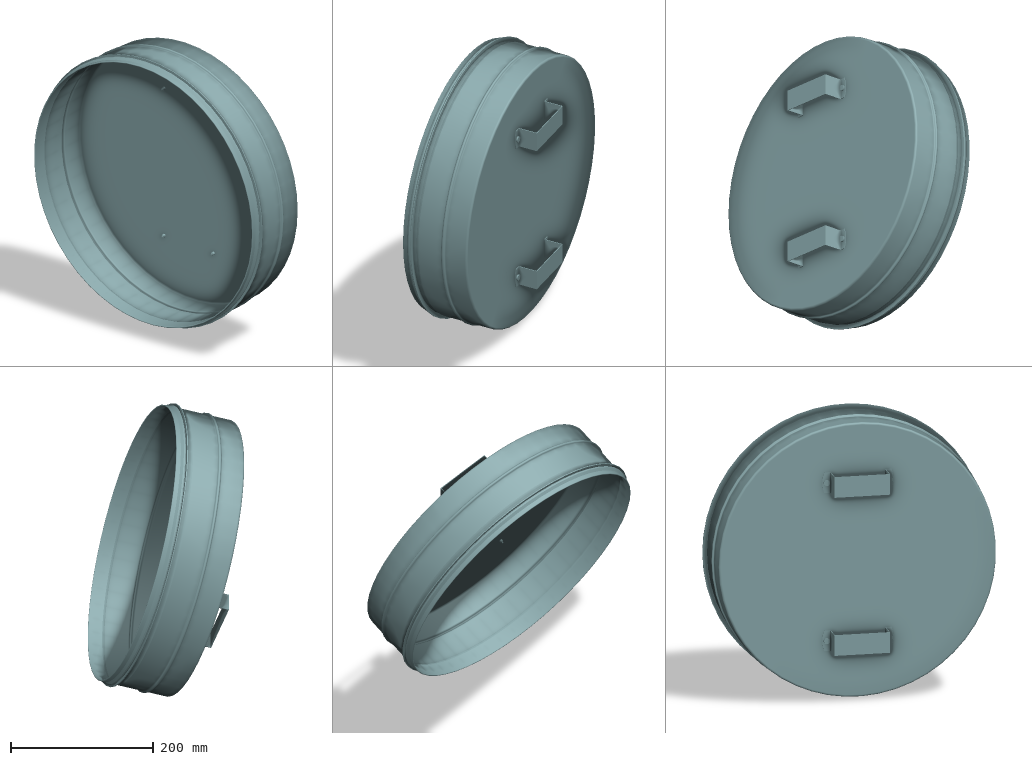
import cadquery as cq
import math

sheet = 0.5
pan_depth = 101.0
pan_outer_r = 399.0 / 2
corner_r = 3.05

bead_outer_r = 404.3 / 2
bead_y = 64.0
bead_half_width = 4.0

neck_outer_r = 396.0 / 2
neck_inner_r = neck_outer_r - sheet
hem_bend_r = (pan_outer_r - neck_inner_r) / 2
hem_end_y = 10.2
shoulder_y = 24.5
shoulder_length = 3.5

seal_outer_r = 409 / 2
seal_lip_r = 404.3 / 2
seal_back_y = 15.5
seal_flange_thickness = 1.2
seal_gap = 2.0
seal_lip_edge = 2.0
seal_lip_front_y = 6.5

handle_z = 115.0
handle_width = 30.0
handle_span = 80.0
handle_height = 29.0
handle_sheet = 1.0
bend_inner_r = 0.6
bend_outer_r = bend_inner_r + handle_sheet
foot_tip_x = 51.0
foot_corner_x = 48.3

rivet_x = 45.0
rivet_head_d = 8.5
rivet_head_height = 2.5
rivet_shank_d = 4.0
rivet_bulge_d = 5.0
rivet_bulge_length = 2.5
rivet_tail_length = 1.2
mandrel_d = 2.0
mandrel_length = 2.0

rivet_places = [(x, z) for x in (-rivet_x, rivet_x) for z in (-handle_z, handle_z)]


def revolve_about_y(profile):
    """Turn a closed XY profile (X = radius) a full circle about the Y axis."""
    return profile.revolve(360, (0, 0, 0), (0, 1, 0))


def cylinder_along_y(diameter, y_start, y_end, x, z):
    start = cq.Vector(x, y_start, z)
    return cq.Workplane(cq.Solid.makeCylinder(diameter / 2, y_end - y_start, start, cq.Vector(0, 1, 0)))


def pan_section(inset):
    """Closed section of a solid pan whose skin lies the inset distance inside the outer skin."""
    wall_r = pan_outer_r - inset
    neck_r = neck_outer_r - inset
    end_y = pan_depth - inset
    arc_r = corner_r - inset
    flat_r = pan_outer_r - corner_r
    corner_y = pan_depth - corner_r

    bead_height = bead_outer_r - pan_outer_r
    bead_angle = 2 * math.atan(bead_height / bead_half_width)
    bead_arc_r = bead_half_width / (2 * math.sin(bead_angle))
    foot_r = bead_arc_r + inset
    crest_r = bead_arc_r - inset
    foot_center_r = pan_outer_r + bead_arc_r
    crest_center_r = bead_outer_r - bead_arc_r

    def foot_point(side, angle):
        return (
            foot_center_r - foot_r * math.cos(angle),
            bead_y + side * (bead_half_width - foot_r * math.sin(angle)),
        )

    def crest_point(side):
        return (
            crest_center_r + crest_r * math.cos(bead_angle),
            bead_y + side * crest_r * math.sin(bead_angle),
        )

    return (
        cq.Workplane("XY")
        .polyline([
            (0, hem_bend_r),
            (neck_r, hem_bend_r),
            (neck_r, shoulder_y - shoulder_length),
            (wall_r, shoulder_y),
            foot_point(-1, 0),
        ])
        .threePointArc(foot_point(-1, bead_angle / 2), crest_point(-1))
        .threePointArc((crest_center_r + crest_r, bead_y), crest_point(1))
        .threePointArc(foot_point(1, bead_angle / 2), foot_point(1, 0))
        .lineTo(wall_r, corner_y)
        .radiusArc((flat_r, end_y), -arc_r)
        .lineTo(0, end_y)
        .close()
    )


def make_hem():
    layer_inner_r = pan_outer_r - sheet
    profile = (
        cq.Workplane("XY")
        .moveTo(pan_outer_r, hem_bend_r)
        .lineTo(pan_outer_r, hem_end_y)
        .lineTo(layer_inner_r, hem_end_y)
        .lineTo(layer_inner_r, hem_bend_r)
        .threePointArc(((layer_inner_r + neck_outer_r) / 2, sheet), (neck_outer_r, hem_bend_r))
        .lineTo(neck_inner_r, hem_bend_r)
        .threePointArc(((pan_outer_r + neck_inner_r) / 2, 0), (pan_outer_r, hem_bend_r))
        .close()
    )
    return revolve_about_y(profile)


def make_pan():
    pan = revolve_about_y(pan_section(0)).cut(revolve_about_y(pan_section(sheet))).union(make_hem())
    for x, z in rivet_places:
        pan = pan.cut(cylinder_along_y(rivet_shank_d, pan_depth - 2 * sheet, pan_depth, x, z))
    return pan


def make_seal():
    flange_front_y = seal_back_y - seal_flange_thickness
    lip_back_y = flange_front_y - seal_gap
    profile = (
        cq.Workplane("XY")
        .moveTo(neck_outer_r, seal_back_y)
        .lineTo(neck_outer_r, hem_end_y)
        .lineTo(pan_outer_r, hem_end_y)
        .lineTo(pan_outer_r, seal_lip_front_y)
        .lineTo(seal_lip_r, lip_back_y - seal_lip_edge)
        .lineTo(seal_lip_r, lip_back_y)
        .lineTo(pan_outer_r, lip_back_y)
        .lineTo(pan_outer_r, flange_front_y)
        .lineTo(seal_outer_r, flange_front_y)
        .lineTo(seal_outer_r, seal_back_y)
        .close()
    )
    return revolve_about_y(profile)


def foot_outline():
    """Block that trims the strap to its width and rounds the outer ends of the feet."""
    half_width = handle_width / 2
    return (
        cq.Workplane("XZ", origin=(0, pan_depth, 0))
        .moveTo(-foot_corner_x, -half_width)
        .lineTo(foot_corner_x, -half_width)
        .threePointArc((foot_tip_x, 0), (foot_corner_x, half_width))
        .lineTo(-foot_corner_x, half_width)
        .threePointArc((-foot_tip_x, 0), (-foot_corner_x, -half_width))
        .close()
        .extrude(-handle_height)
    )


def make_handle(z):
    leg_outer_x = handle_span / 2
    leg_inner_x = leg_outer_x - handle_sheet
    foot_top_y = pan_depth + handle_sheet
    grip_outer_y = pan_depth + handle_height
    grip_inner_y = grip_outer_y - handle_sheet
    half_strap = (
        cq.Workplane("XY", origin=(0, 0, -handle_width / 2))
        .moveTo(0, grip_inner_y)
        .lineTo(leg_inner_x, grip_inner_y)
        .lineTo(leg_inner_x, pan_depth + bend_outer_r)
        .radiusArc((leg_inner_x + bend_outer_r, pan_depth), -bend_outer_r)
        .lineTo(foot_tip_x, pan_depth)
        .lineTo(foot_tip_x, foot_top_y)
        .lineTo(leg_outer_x + bend_inner_r, foot_top_y)
        .radiusArc((leg_outer_x, foot_top_y + bend_inner_r), bend_inner_r)
        .lineTo(leg_outer_x, grip_outer_y)
        .lineTo(0, grip_outer_y)
        .close()
        .extrude(handle_width)
    )
    strap = half_strap.union(half_strap.mirror("YZ")).clean()
    handle = strap.intersect(foot_outline()).translate((0, 0, z))
    for x in (-rivet_x, rivet_x):
        handle = handle.cut(cylinder_along_y(rivet_shank_d, pan_depth, foot_top_y, x, z))
    return handle


def make_rivet(x, z):
    bulge_back_y = pan_depth - sheet
    bulge_front_y = bulge_back_y - rivet_bulge_length
    tail_y = bulge_front_y - rivet_tail_length
    head_front_y = pan_depth + handle_sheet
    mandrel = cylinder_along_y(mandrel_d, tail_y - mandrel_length, tail_y, x, z)
    bulge = cylinder_along_y(rivet_bulge_d, bulge_front_y, bulge_back_y, x, z)
    shank = cylinder_along_y(rivet_shank_d, tail_y, head_front_y, x, z)
    head = cylinder_along_y(rivet_head_d, head_front_y, head_front_y + rivet_head_height, x, z)
    return mandrel.union(bulge).union(shank).union(head)


pan = make_pan()
seal = make_seal()
handles = [make_handle(z) for z in (-handle_z, handle_z)]
rivets = [make_rivet(x, z) for x, z in rivet_places]

result = cq.Compound.makeCompound([
    pan.val(),
    seal.val(),
    *[handle.val() for handle in handles],
    *[rivet.val() for rivet in rivets],
])